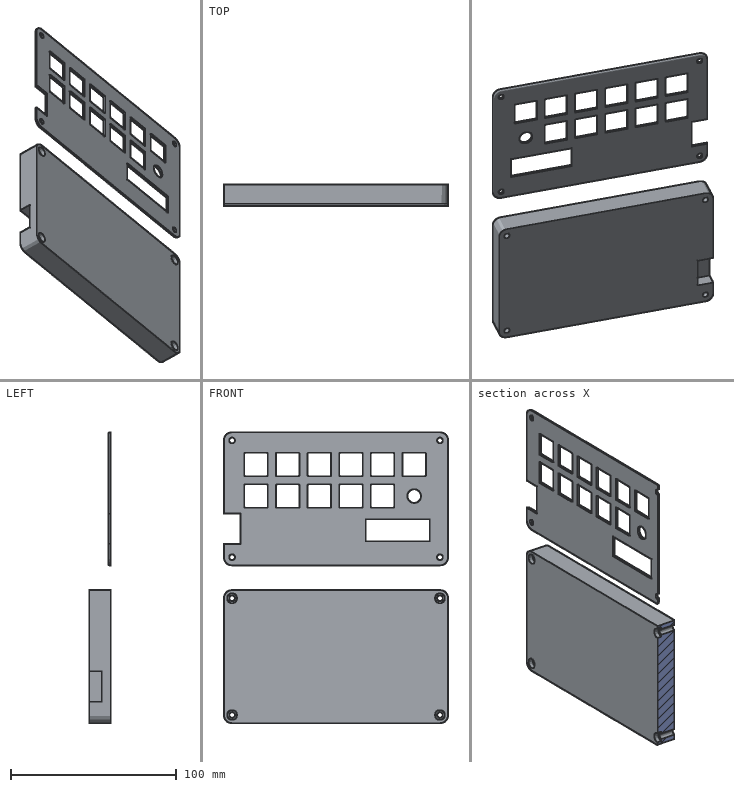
import cadquery as cq

total_height = 175.5
width = 135.3
height = 80.4

case_depth = 13.0
case_bottom = 0.0
screw_head_diameter = 6.0
screw_head_depth = 3.0
notch_depth_in_case = 7.5

plate_thickness = 1.5
plate_edge_radius = 1.0
plate_bottom = total_height - height

screw_diameter = 3.3
screw_span_x = 125.3
screw_inset = (width - screw_span_x) / 2
corner_radius = screw_inset

notch_width = 10.0
notch_height = 18.3
notch_base = 13.0

key_size = 14.0
key_corner_radius = 0.5
key_columns = 6
key_rows = 2
key_span = 95.3
key_pitch = key_span / (key_columns - 1)
first_key_x = 19.5
first_key_drop = 19.5
knob_hole_diameter = 8.0

window_width = 38.5
window_height = 13.2
window_x = 105.0
window_drop = 59.2


def block(x, y, z, size_x, size_y, size_z):
    """Box with its left, front, bottom corner at (x, y, z)."""
    return cq.Workplane("XY").box(size_x, size_y, size_z, centered=False).translate((x, y, z))


def rounded_slab(bottom, depth):
    """Upright slab with its front at Y = 0 and its four corners rounded."""
    return block(0, 0, bottom, width, depth, height).edges("|Y").fillet(corner_radius)


def bores(points, diameter, depth):
    """Cylinders from the front face backward, centred on (x, z) points."""
    return cq.Workplane("XZ").pushPoints(points).circle(diameter / 2).extrude(-depth)


def screw_points(bottom):
    return [
        (x, bottom + z)
        for x in (screw_inset, width - screw_inset)
        for z in (screw_inset, height - screw_inset)
    ]


def make_case():
    points = screw_points(case_bottom)
    notch_front = case_depth - notch_depth_in_case
    notch = block(0, notch_front, case_bottom + notch_base, notch_width, notch_depth_in_case, notch_height)
    return (
        rounded_slab(case_bottom, case_depth)
        .cut(bores(points, screw_diameter, case_depth))
        .cut(bores(points, screw_head_diameter, screw_head_depth))
        .cut(notch)
    )


def make_plate():
    top = plate_bottom + height
    places = [
        (first_key_x + column * key_pitch, top - first_key_drop - row * key_pitch)
        for row in range(key_rows)
        for column in range(key_columns)
    ]
    knob_place = places.pop()

    keys = cq.Workplane("XZ").pushPoints(places).rect(key_size, key_size).extrude(-plate_thickness)
    keys = keys.edges("|Y").fillet(key_corner_radius)
    window = block(
        window_x - window_width / 2,
        0,
        top - window_drop - window_height / 2,
        window_width,
        plate_thickness,
        window_height,
    )
    notch = block(0, 0, plate_bottom + notch_base, notch_width, plate_thickness, notch_height)
    return (
        rounded_slab(plate_bottom, plate_thickness)
        .faces(">Y")
        .edges()
        .fillet(plate_edge_radius)
        .cut(bores(screw_points(plate_bottom), screw_diameter, plate_thickness))
        .cut(bores([knob_place], knob_hole_diameter, plate_thickness))
        .cut(keys)
        .cut(window)
        .cut(notch)
    )


case = make_case()
plate = make_plate()

result = cq.Compound.makeCompound([case.val(), plate.val()])